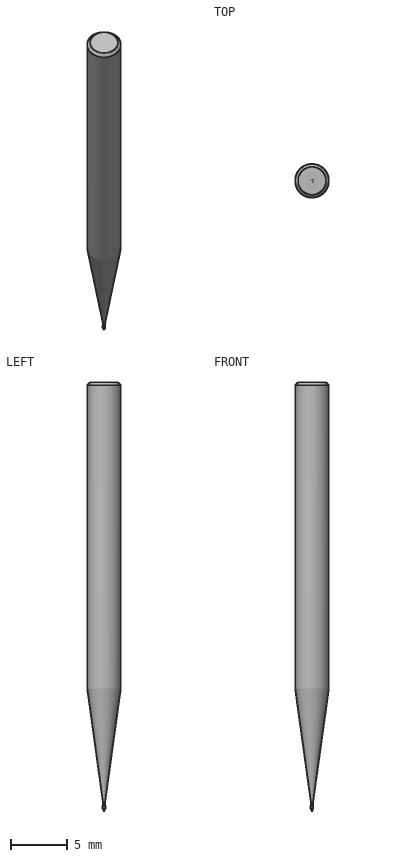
import cadquery as cq

total_length = 38.0
shank_diameter = 3.0
taper_length = 10.85

chamfer_width = 0.25
chamfer_height = 0.25

tip_diameter = 0.25
tip_length = 0.45
nose_length = 0.3
neck_diameter = 0.2
neck_length = 0.35

shank_radius = shank_diameter / 2
tip_radius = tip_diameter / 2
neck_radius = neck_diameter / 2
neck_top = tip_length + neck_length


def make_shank():
    """Chamfered round shank that tapers to a thin cylindrical neck."""
    profile = [
        (0, tip_length),
        (neck_radius, tip_length),
        (neck_radius, neck_top),
        (shank_radius, taper_length),
        (shank_radius, total_length - chamfer_height),
        (shank_radius - chamfer_width, total_length),
        (0, total_length),
    ]
    return cq.Workplane("XZ").polyline(profile).close().revolve(360, (0, 0), (0, 1))


def make_cutting_tip():
    """Pointed cutting tip with a short cylindrical band, wider than the neck."""
    profile = [
        (0, 0),
        (tip_radius, nose_length),
        (tip_radius, tip_length),
        (0, tip_length),
    ]
    return cq.Workplane("XZ").polyline(profile).close().revolve(360, (0, 0), (0, 1))


shank = make_shank()
cutting_tip = make_cutting_tip()

result = cq.Compound.makeCompound([shank.val(), cutting_tip.val()])